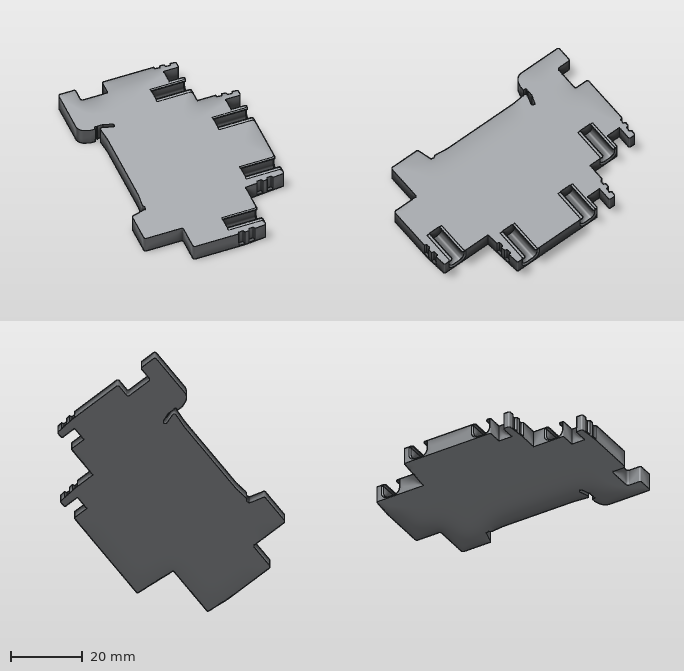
import cadquery as cq
import math


length = 68.65
height = 47.2
thickness = 5.1

tier_rise = 12.0
lower_tier_y = height - tier_rise
upper_left_x = 16.5
upper_right_foot_x = 52.65
draft_angle = 5.0
draft = math.tan(math.radians(draft_angle))
left_draft_height = 5.8
right_draft_height = 6.7
body_bottom_y = 13.2
tier_corner_radius = 0.4
corner_radius = 0.5

notch_offset = 2.55
notch_width = 4.2
notch_depth = 4.5

recess_x = 4.4
recess_radius = 0.7
foot_top_y = 5.15
foot_radius = 0.6
hook_radius = 2.6
hook_x = 16.1
hook_bend_y = 3.2
hook_toe_x = 15.3
hook_top_y = 4.75
hook_bump_y = 5.55
hook_bump_size = 0.2
hook_neck_y = 7.4

slot_lean = math.radians(18)
slot_radius = 0.55
slot_end_share = 0.98
slot_end_x = 16.7
slot_end_y = 9.6
slot_lip_radius = 0.6

seat_y = 6.4
seat_low_y = 5.9
seat_flat_left_x = 21.2
seat_flat_right_x = 44.4
seat_right_end_x = 48.5
seat_end_radius = 0.8

right_foot_x = 60.7
right_foot_bottom_y = 1.65
right_foot_left_x = 51.3
right_foot_shoulder_x = 50.05
right_foot_shoulder_y = 6.2
seat_corner_x = 49.2

groove_mouth = 1.85
groove_floor = 1.3
groove_depth = 0.7
groove_overrun = 0.2
groove_mouth_z = 0.4
groove_floor_z = 0.8
left_groove_drops = (2.6, 5.6)
right_groove_drops = (4.3, 7.5)

channel_length = 10.5
channel_opening = 3.5
channel_undercut = 0.8
channel_lip = 0.3
channel_floor_z = 0.75
channel_floor_flat = 1.65
channel_flare = 0.5
lip_flare_width = 0.4
lip_flare_length = 0.3
channel_fillet = channel_undercut + (channel_opening - channel_floor_flat) / 2
lower_left_channel_x = 9.95
upper_left_channel_x = 26.4
upper_right_channel_x = 46.95
lower_right_channel_x = 63.4


def left_tier_edge(side_x, top_y):
    """Corners of a tier's left edge, from its drafted side to the right end of its notch."""
    notch_left = side_x + notch_offset
    notch_right = notch_left + notch_width
    return [
        (side_x, top_y - left_draft_height, 0),
        (side_x + left_draft_height * draft, top_y, tier_corner_radius),
        (notch_left, top_y, tier_corner_radius),
        (notch_left, top_y - notch_depth, 0),
        (notch_right, top_y - notch_depth, 0),
        (notch_right, top_y, tier_corner_radius),
    ]


def upper_edge():
    """Corners along both tiers, from left to right."""
    return [
        *left_tier_edge(0, lower_tier_y),
        (upper_left_x, lower_tier_y, 0),
        *left_tier_edge(upper_left_x, height),
        (upper_right_foot_x - tier_rise * draft, height, tier_corner_radius),
        (upper_right_foot_x, lower_tier_y, 0),
        (length - right_draft_height * draft, lower_tier_y, tier_corner_radius),
        (length, lower_tier_y - right_draft_height, 0),
    ]


def right_foot():
    """Corners from the right end of the body to the right end of the rail seat."""
    return [
        (length, body_bottom_y, foot_radius),
        (right_foot_x, body_bottom_y, corner_radius),
        (right_foot_x, right_foot_bottom_y, foot_radius),
        (right_foot_left_x, right_foot_bottom_y, corner_radius),
        (right_foot_shoulder_x, right_foot_shoulder_y, 0),
        (seat_corner_x, seat_y, 0),
        (seat_right_end_x, seat_low_y, seat_end_radius),
    ]


def seat_and_slot():
    """Corners along the rail seat to the left, then around the leaning relief slot."""
    along_x, along_y = math.sin(slot_lean), math.cos(slot_lean)
    tip_x = slot_end_x + slot_radius * along_x
    tip_y = slot_end_y + slot_radius * along_y
    right_x, right_y = tip_x + slot_radius * along_y, tip_y - slot_radius * along_x
    left_x, left_y = tip_x - slot_radius * along_y, tip_y + slot_radius * along_x
    slot_lip_x = right_x - (right_y - seat_low_y) * math.tan(slot_lean)
    end_radius = slot_end_share * slot_radius
    return [
        (seat_flat_right_x, seat_y, 0),
        (seat_flat_left_x, seat_y, 0),
        (slot_lip_x, seat_low_y, slot_lip_radius),
        (right_x, right_y, end_radius),
        (left_x, left_y, end_radius),
    ]


def left_foot():
    """Corners down the spring hook, around the left foot and up to the body."""
    hook_arc_x = hook_x - hook_bend_y * math.tan(slot_lean)
    return [
        (hook_toe_x, hook_neck_y, 0),
        (hook_toe_x, hook_bump_y + hook_bump_size, 0),
        (hook_toe_x + hook_bump_size, hook_bump_y, 0),
        (hook_toe_x, hook_bump_y - hook_bump_size, 0),
        (hook_toe_x, hook_top_y, 0),
        (hook_x, hook_top_y, 0),
        (hook_x, hook_bend_y, 0),
        (hook_arc_x, 0, hook_radius),
        (0, 0, foot_radius),
        (0, foot_top_y, corner_radius),
        (recess_x, foot_top_y, recess_radius),
        (recess_x, body_bottom_y, corner_radius),
        (0, body_bottom_y, foot_radius),
    ]


def corner_arc(before, corner, after, radius):
    """Start, middle and end of the arc of the given radius that rounds a corner."""
    here = cq.Vector(*corner)
    back = (cq.Vector(*before) - here).normalized()
    ahead = (cq.Vector(*after) - here).normalized()
    half_angle = back.getAngle(ahead) / 2
    reach = radius / math.tan(half_angle)
    inward = (back + ahead).normalized()
    middle = here + inward * (radius / math.sin(half_angle) - radius)
    return here + back * reach, middle, here + ahead * reach


def rounded_outline(corners):
    """Closed wire through (x, y, radius) corners; a radius of 0 leaves the corner sharp."""
    outline = cq.Workplane("XY").moveTo(*corners[0][:2])
    for index in range(1, len(corners)):
        x, y, radius = corners[index]
        if radius == 0:
            outline = outline.lineTo(x, y)
            continue
        before = corners[index - 1][:2]
        after = corners[(index + 1) % len(corners)][:2]
        start, middle, end = corner_arc(before, (x, y), after, radius)
        outline = outline.lineTo(start.x, start.y)
        outline = outline.threePointArc((middle.x, middle.y), (end.x, end.y))
    return outline.close()


def groove(mouth_x, center_y, lean, into_part):
    """Cutter for a groove that narrows from its mouth; into_part is +1 or -1 along X."""

    def section(depth):
        """Closed wire of the groove at one depth below the tier side."""
        share = depth / groove_depth
        half_width = (groove_mouth + share * (groove_floor - groove_mouth)) / 2
        end_z = groove_mouth_z + share * (groove_floor_z - groove_mouth_z)
        x = into_part * depth
        points = [
            (x, -half_width, end_z),
            (x, half_width, end_z),
            (x, half_width, thickness),
            (x, -half_width, thickness),
        ]
        return cq.Wire.makePolygon([cq.Vector(*point) for point in points], close=True)

    cutter = cq.Solid.makeLoft([section(-groove_overrun), section(groove_depth)], True)
    leaning = cutter.rotate(cq.Vector(0, 0, 0), cq.Vector(0, 0, 1), lean)
    return cq.Workplane(leaning.translate(cq.Vector(mouth_x, center_y, 0)))


def channel_profile(center_x, y, growth):
    """Closed outline of a channel below its lips at one y, enlarged by growth on its walls and floor."""
    under_lip = thickness - channel_lip
    arc_center_z = channel_floor_z + channel_fillet
    radius = channel_fillet + growth
    bend = radius * math.sqrt(0.5)
    half_flat = channel_floor_flat / 2
    half_width = half_flat + radius
    return (
        cq.Workplane("XZ", origin=(center_x, y, 0))
        .moveTo(-half_width, under_lip)
        .lineTo(-half_width, arc_center_z)
        .threePointArc((-half_flat - bend, arc_center_z - bend), (-half_flat, arc_center_z - radius))
        .lineTo(half_flat, arc_center_z - radius)
        .threePointArc((half_flat + bend, arc_center_z - bend), (half_width, arc_center_z))
        .lineTo(half_width, under_lip)
        .close()
    )


def channel(center_x, top_y):
    """Cutter for an undercut channel with rounded floor corners and a flared mouth."""
    wide_part = channel_profile(center_x, top_y, 0).extrude(channel_length)
    mouth = channel_profile(center_x, top_y, channel_flare).wire().val()
    throat = channel_profile(center_x, top_y - channel_flare, 0).wire().val()
    flare = cq.Workplane(cq.Solid.makeLoft([mouth, throat], True))

    half_opening = channel_opening / 2
    lip_gap = (
        cq.Workplane("XY", origin=(center_x, top_y, thickness - channel_lip))
        .moveTo(-half_opening - lip_flare_width, 0)
        .lineTo(-half_opening, -lip_flare_length)
        .lineTo(-half_opening, -channel_length)
        .lineTo(half_opening, -channel_length)
        .lineTo(half_opening, -lip_flare_length)
        .lineTo(half_opening + lip_flare_width, 0)
        .close()
        .extrude(channel_lip)
    )
    return wide_part.union(flare).union(lip_gap)


corners = upper_edge() + right_foot() + seat_and_slot() + left_foot()
result = rounded_outline(corners).extrude(thickness)

for side_x, top_y in ((0, lower_tier_y), (upper_left_x, height)):
    for drop in left_groove_drops:
        mouth_x = side_x + (left_draft_height - drop) * draft
        result = result.cut(groove(mouth_x, top_y - drop, -draft_angle, 1))

right_tops = (
    (length - right_draft_height * draft, lower_tier_y),
    (upper_right_foot_x - tier_rise * draft, height),
)
for top_x, top_y in right_tops:
    for drop in right_groove_drops:
        mouth_x = min(top_x + drop * draft, length)
        result = result.cut(groove(mouth_x, top_y - drop, draft_angle, -1))

channel_places = (
    (lower_left_channel_x, lower_tier_y),
    (upper_left_channel_x, height),
    (upper_right_channel_x, height),
    (lower_right_channel_x, lower_tier_y),
)
for center_x, top_y in channel_places:
    result = result.cut(channel(center_x, top_y))